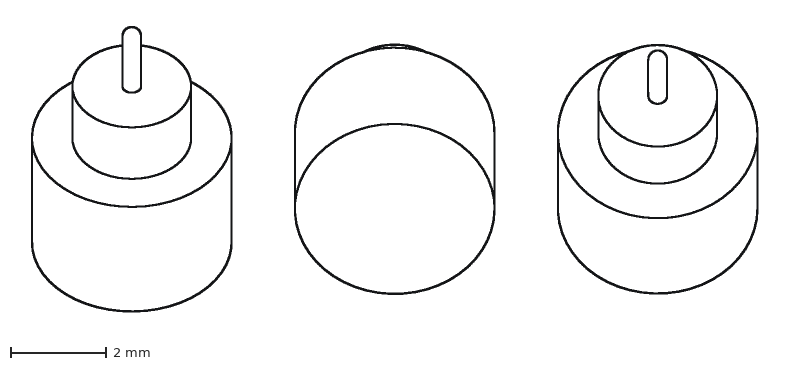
import cadquery as cq
import math

total_height = 6.2
body_diameter = 4.2
body_height = 3.05
collar_diameter = 2.5
collar_height = 1.5
insulator_diameter = 1.95
pin_diameter = 0.395

body_radius = body_diameter / 2
collar_radius = collar_diameter / 2
insulator_radius = insulator_diameter / 2
pin_radius = pin_diameter / 2
collar_top = body_height + collar_height
dome_base = total_height - pin_radius
dome_offset = pin_radius * math.sqrt(0.5)

half_section = (
    cq.Workplane("XZ")
    .lineTo(-body_radius, 0)
    .lineTo(-body_radius, body_height)
    .lineTo(-collar_radius, body_height)
    .lineTo(-collar_radius, collar_top)
    .lineTo(-insulator_radius, collar_top)
    .lineTo(-pin_radius, collar_top)
    .lineTo(-pin_radius, dome_base)
    .threePointArc((-dome_offset, dome_base + dome_offset), (0, total_height))
    .close()
)

result = half_section.revolve(360, (0, 0, 0), (0, 1, 0), clean=False)